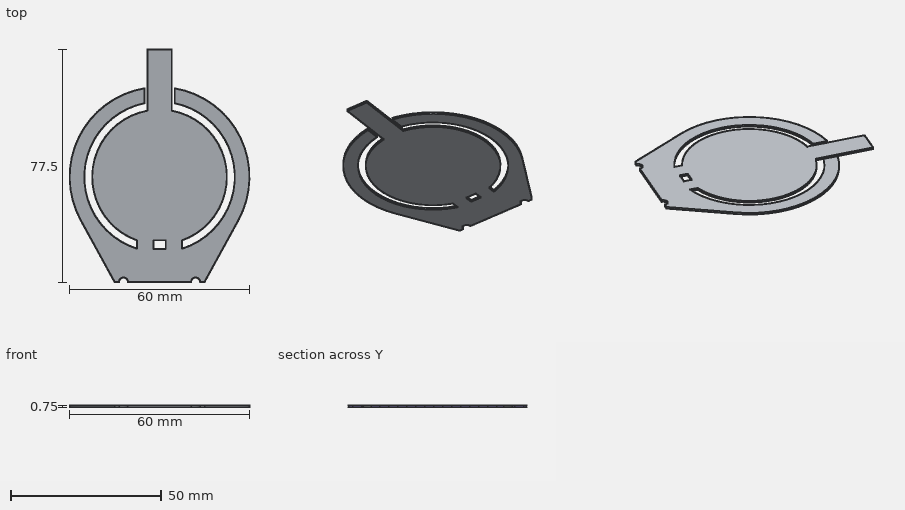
import cadquery as cq
import math

thickness = 0.75
ring_outer_radius = 30.0
ring_inner_radius = 25.0
disc_radius = 22.5
total_length = 77.5
base_depth = 35.0
base_width = 30.0
tab_width = 8.1
ring_gap_width = 10.0
bridge_width = 15.0
window_width = 4.0
window_height = 2.8
window_center_y = -22.55
notch_radius = 1.5
notch_offset = 12.0

tab_end_y = total_length - base_depth
base_half_width = base_width / 2


def rectangle(width, bottom, top):
    """Plate-thick block centred on X between two Y positions."""
    return (
        cq.Workplane("XY")
        .center(0, (bottom + top) / 2)
        .rect(width, top - bottom)
        .extrude(thickness)
    )


def disc(radius):
    return cq.Workplane("XY").circle(radius).extrude(thickness)


def outer_plate():
    """Round plate whose sides run tangentially down to the base corners."""
    corner_distance = math.hypot(base_half_width, base_depth)
    corner_angle = math.atan2(-base_depth, base_half_width)
    tangent_angle = corner_angle + math.acos(ring_outer_radius / corner_distance)
    tangent_x = ring_outer_radius * math.cos(tangent_angle)
    tangent_y = ring_outer_radius * math.sin(tangent_angle)
    return (
        cq.Workplane("XY")
        .moveTo(-base_half_width, -base_depth)
        .lineTo(base_half_width, -base_depth)
        .lineTo(tangent_x, tangent_y)
        .threePointArc((0, ring_outer_radius), (-tangent_x, tangent_y))
        .close()
        .extrude(thickness)
    )


bridge = rectangle(bridge_width, -base_depth, 0)
slot = disc(ring_inner_radius).cut(disc(disc_radius)).cut(bridge)

ring_gap = rectangle(ring_gap_width, 0, tab_end_y).cut(disc(disc_radius))

window = rectangle(
    window_width,
    window_center_y - window_height / 2,
    window_center_y + window_height / 2,
)

notches = (
    cq.Workplane("XY")
    .pushPoints([(-notch_offset, -base_depth), (notch_offset, -base_depth)])
    .circle(notch_radius)
    .extrude(thickness)
)

tab = rectangle(tab_width, 0, tab_end_y)

result = outer_plate().cut(slot).cut(ring_gap).cut(window).cut(notches).union(tab)